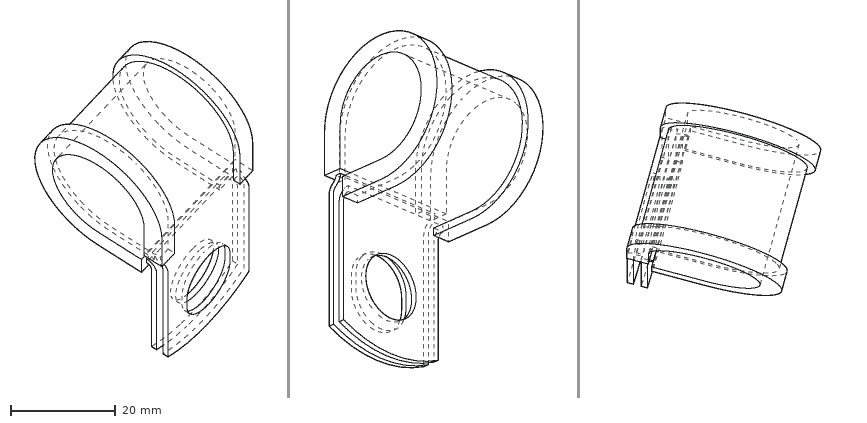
import cadquery as cq
import math

TOTAL_HEIGHT = 59.0

CUSHION_OUTER_RADIUS = 15.4
CUSHION_INNER_RADIUS = 11.1
CUSHION_WIDTH = 28.45
FLANGE_WIDTH = 4.0
UPPER_LEG_LENGTH = 9.2
LOWER_LEG_LENGTH = 10.45

BAND_THICKNESS = 1.25
BAND_WIDTH = 25.4
BAND_OUTER_RADIUS = 13.8
BEND_INNER_RADIUS = 1.25
OUTER_TAB_FACE_X = 15.7
JOG_ANGLE = math.radians(45)

HOLE_DIAMETER = 13.45
SLOT_LENGTH = 16.05
HOLE_Z = -29.35
TAB_END_RISE = 2.95

band_radius = BAND_OUTER_RADIUS - BAND_THICKNESS / 2
bend_radius = BEND_INNER_RADIUS + BAND_THICKNESS / 2
tab_bottom = CUSHION_OUTER_RADIUS - TOTAL_HEIGHT


def loop_section(outer_radius, width):
    """Cushion loop of the given outer radius with its two straight legs, centred on Y."""
    middle = math.sqrt(0.5)
    inner = CUSHION_INNER_RADIUS
    outline = (
        cq.Workplane("XZ")
        .moveTo(outer_radius, -UPPER_LEG_LENGTH)
        .lineTo(outer_radius, 0)
        .threePointArc((-outer_radius * middle, outer_radius * middle), (0, -outer_radius))
        .lineTo(LOWER_LEG_LENGTH, -outer_radius)
        .lineTo(LOWER_LEG_LENGTH, -inner)
        .lineTo(0, -inner)
        .threePointArc((-inner * middle, inner * middle), (inner, 0))
        .lineTo(inner, -UPPER_LEG_LENGTH)
        .close()
    )
    return outline.extrude(width / 2, both=True)


def make_cushion():
    cushion = loop_section(BAND_OUTER_RADIUS, CUSHION_WIDTH)
    flange_offset = (CUSHION_WIDTH - FLANGE_WIDTH) / 2
    flange = loop_section(CUSHION_OUTER_RADIUS, FLANGE_WIDTH)
    for side in (-1, 1):
        cushion = cushion.union(flange.translate((0, side * flange_offset, 0)))
    return cushion


def make_band():
    """Strip swept along its centreline from the inner tab, round the loop, to the outer tab."""
    inner_tab_x = LOWER_LEG_LENGTH + bend_radius
    outer_tab_x = OUTER_TAB_FACE_X - BAND_THICKNESS / 2
    middle = math.sqrt(0.5)

    bend_out = bend_radius * (1 - math.cos(JOG_ANGLE))
    bend_down = bend_radius * math.sin(JOG_ANGLE)
    slope_out = outer_tab_x - band_radius - 2 * bend_out
    slope_down = slope_out / math.tan(JOG_ANGLE)
    slope_top = (band_radius + bend_out, -UPPER_LEG_LENGTH - bend_down)
    slope_bottom = (slope_top[0] + slope_out, slope_top[1] - slope_down)
    jog_end = (outer_tab_x, slope_bottom[1] - bend_down)
    half_out = bend_radius * (1 - math.cos(JOG_ANGLE / 2))
    half_down = bend_radius * math.sin(JOG_ANGLE / 2)

    centreline = (
        cq.Workplane("XZ")
        .moveTo(inner_tab_x, tab_bottom)
        .lineTo(inner_tab_x, -band_radius - bend_radius)
        .threePointArc(
            (LOWER_LEG_LENGTH + bend_radius * middle, -band_radius - bend_radius * (1 - middle)),
            (LOWER_LEG_LENGTH, -band_radius),
        )
        .lineTo(0, -band_radius)
        .threePointArc((-band_radius * middle, band_radius * middle), (band_radius, 0))
        .lineTo(band_radius, -UPPER_LEG_LENGTH)
        .threePointArc((band_radius + half_out, -UPPER_LEG_LENGTH - half_down), slope_top)
        .lineTo(*slope_bottom)
        .threePointArc((outer_tab_x - half_out, jog_end[1] + half_down), jog_end)
        .lineTo(outer_tab_x, tab_bottom)
    )
    strip = cq.Workplane("XY", origin=(inner_tab_x, 0, tab_bottom)).rect(BAND_THICKNESS, BAND_WIDTH)
    return strip.sweep(centreline)


def make_end_envelope():
    """Everything the band may fill: the full band width, with a rounded lower end."""
    half_width = BAND_WIDTH / 2
    corner_z = tab_bottom + TAB_END_RISE
    return (
        cq.Workplane("YZ")
        .moveTo(-half_width, CUSHION_OUTER_RADIUS)
        .lineTo(-half_width, corner_z)
        .threePointArc((0, tab_bottom), (half_width, corner_z))
        .lineTo(half_width, CUSHION_OUTER_RADIUS)
        .close()
        .extrude(2 * CUSHION_OUTER_RADIUS, both=True)
    )


def make_hole_cutter(tab_face_x):
    """Round hole through the inner tab, whose +X face is at tab_face_x."""
    hole = cq.Workplane("YZ", origin=(tab_face_x, 0, HOLE_Z)).circle(HOLE_DIAMETER / 2)
    return hole.extrude(-BAND_THICKNESS)


def make_slot_cutter():
    """Upright slot through the outer tab, on the same centre as the round hole."""
    slot = cq.Workplane("YZ", origin=(OUTER_TAB_FACE_X, 0, HOLE_Z)).slot2D(SLOT_LENGTH, HOLE_DIAMETER, 90)
    return slot.extrude(-BAND_THICKNESS)


inner_tab_face_x = LOWER_LEG_LENGTH + BEND_INNER_RADIUS + BAND_THICKNESS
band = make_band().intersect(make_end_envelope())
band = band.cut(make_hole_cutter(inner_tab_face_x)).cut(make_slot_cutter())

result = make_cushion().union(band)